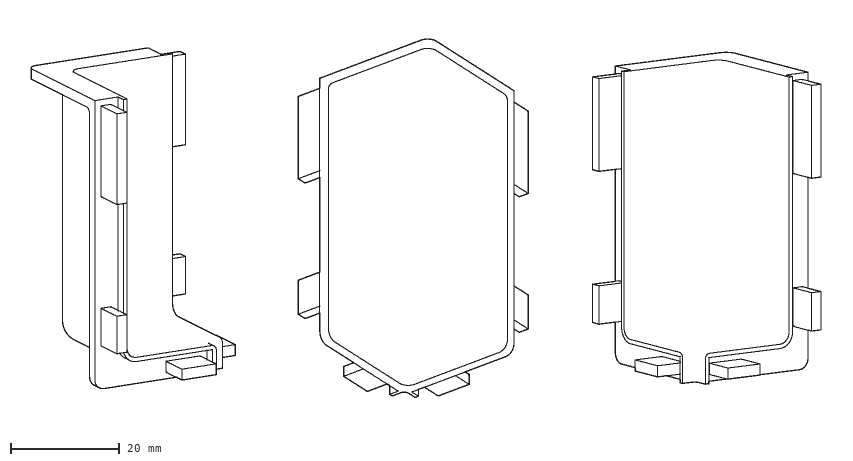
import cadquery as cq

height = 55.5
tab_reach = 31.5
tab_length = 6.0
plate_outer = tab_reach - tab_length
plate_thickness = 2.0
plate_inner = plate_outer - plate_thickness
cover_thickness = 2.0
cover_underside = height - cover_thickness
frame_corner_radius = 2.0
plate_joint_radius = 2.0

body_setback = 3.7
body_radius = 4.0
wall = 2.0
cavity_start = body_setback + wall
cavity_radius = body_radius - wall
blend_radius = 1.0

tongue_length = 2.0
tongue_end = plate_outer + tongue_length
tongue_thickness = 0.8
tongue_start = cavity_start - tongue_thickness
tongue_radius = cavity_radius + tongue_thickness

notch_depth = 1.0
notch_start = plate_outer - notch_depth
notch_radius = 1.0
notch_rim_radius = 1.0

tab_thickness = 2.1
tab_width = 7.2
tab_offset = 1.3
upper_tab_bottom = 36.9
upper_tab_height = 17.4
lower_tab_bottom = 8.3
floor_tab_start = 15.0

selection_margin = 0.01


def block(x_range, y_range, z_range):
    """Axis-aligned block from its (low, high) limits."""
    low_corner, high_corner = zip(x_range, y_range, z_range)
    sizes = [high - low for low, high in zip(low_corner, high_corner)]
    return cq.Workplane("XY").box(*sizes, centered=False).translate(low_corner)


def swap_xy(shape):
    """Copy a feature of the +X side onto the +Y side."""
    return shape.rotate((0, 0, 0), (1, 1, 0), 180).mirror("XY")


def edges_within(low_corner, high_corner):
    """Selector for edges whose centres lie within the given limits."""
    low = [value - selection_margin for value in low_corner]
    high = [value + selection_margin for value in high_corner]
    return cq.selectors.BoxSelector(low, high)


def rounded_core(start, end, top, radius):
    """Block with its -X/-Y corner and the two bottom edges beside it rounded."""
    core = block((start, end), (start, end), (start, top))
    return core.edges("(|Z and <X and <Y) or (|Y and <X and <Z) or (|X and <Y and <Z)").fillet(radius)


def make_frame():
    """Cover on top with an end plate on the +X side and another on the +Y side."""
    frame = block((0, plate_outer), (0, plate_outer), (0, height))
    frame = frame.cut(block((0, plate_inner), (0, plate_inner), (0, cover_underside)))
    plate_joint = cq.NearestToPointSelector((plate_inner, plate_inner, height / 2))
    frame = frame.edges(plate_joint).fillet(plate_joint_radius)
    frame = frame.edges("(|Y and <Z and <X) or (|X and <Z and <Y)").fillet(frame_corner_radius)
    cover_corner = cq.NearestToPointSelector((0, 0, height - cover_thickness / 2))
    return frame.edges(cover_corner).fillet(frame_corner_radius)


def add_body(frame):
    """Add the body as a solid and fillet every inside edge between body, plates and cover."""
    shape = frame.union(rounded_core(body_setback, plate_outer, height, body_radius))
    inside_corner = (plate_inner, plate_inner, cover_underside)
    on_cover = edges_within((body_setback / 2, body_setback / 2, cover_underside), inside_corner)
    on_plate_x = edges_within((plate_inner, body_setback, body_setback), inside_corner)
    on_plate_y = edges_within((body_setback, plate_inner, body_setback), inside_corner)
    joint_start = plate_inner - plate_joint_radius
    at_joint = edges_within(
        (joint_start, joint_start, body_setback),
        (plate_inner, plate_inner, body_setback),
    )
    return shape.edges(on_cover + on_plate_x + on_plate_y + at_joint).fillet(blend_radius)


def make_tongue():
    """Tongue beyond the +X end plate: side wall and floor (still solid), and a leg down the notch."""
    x_range = (plate_outer, tongue_end)
    side_and_floor = block(x_range, (tongue_start, notch_start), (tongue_start, height))
    side_and_floor = side_and_floor.edges("|X and <Y and <Z").fillet(tongue_radius)
    leg = block(x_range, (notch_start - tongue_thickness, notch_start), (0, cavity_start))
    return side_and_floor.union(leg)


def cut_cavity(shape):
    """Hollow the body and tongues; the cavity is open at the top, +X and +Y."""
    return shape.cut(rounded_core(cavity_start, 2 * tongue_end, 2 * height, cavity_radius))


def cut_notch(shape):
    """Cut the far corner away and round the floor edge along the cut."""
    notch = block((notch_start, tab_reach), (notch_start, tab_reach), (0, height))
    shape = shape.cut(notch.edges("|Z and <X and <Y").fillet(notch_radius))
    rim_end = tongue_end - tongue_length / 2
    rim = edges_within((notch_start, notch_start, cavity_start), (rim_end, rim_end, cavity_start))
    return shape.edges(rim).fillet(notch_rim_radius)


def make_tabs():
    """Tabs on the +X end plate: two upright at the side, one flat under the floor."""
    x_range = (plate_outer, tab_reach)
    thickness_range = (tab_offset, tab_offset + tab_thickness)
    upper = block(x_range, thickness_range, (upper_tab_bottom, upper_tab_bottom + upper_tab_height))
    lower = block(x_range, thickness_range, (lower_tab_bottom, lower_tab_bottom + tab_width))
    under_floor = block(x_range, (floor_tab_start, floor_tab_start + tab_width), thickness_range)
    return upper.union(lower).union(under_floor)


tongue = make_tongue()
tabs = make_tabs()

part = add_body(make_frame())
part = part.union(tongue).union(swap_xy(tongue))
part = cut_notch(cut_cavity(part))
result = part.union(tabs).union(swap_xy(tabs))